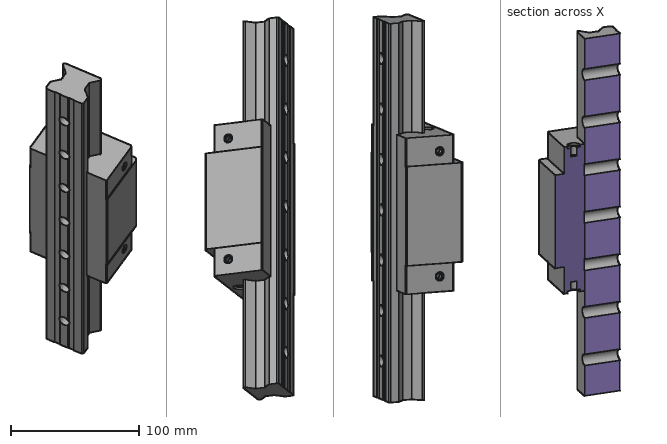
import cadquery as cq

rail_length = 300.0
rail_height = 30.0
rail_half_width = 16.8
waist_half_width = 10.5
waist_bottom = 14.0
waist_top = 21.5
flare = rail_half_width - waist_half_width
base_chamfer = 1.2
head_fillet = 1.5

groove_inner = 3.3
groove_floor_inner = 4.2
groove_outer = 8.5
groove_depth = 0.3

hole_count = 7
hole_pitch = 40.0
hole_diameter = 9.0

carriage_bottom = 6.3
carriage_top = 55.0
block_width = 70.0
block_length = 78.5
block_top_chamfer = 1.8
block_bottom_chamfer = 1.0
cap_width = 68.7
cap_top_chamfer = 1.2
cap_bottom_chamfer = 1.0
cap_top = 47.5
carriage_length = 123.5
cap_length = (carriage_length - block_length) / 2

end_port_y = 39.0
end_port_diameter = 10.2
end_port_depth = 1.8
end_bore_diameter = 4.8
end_bore_depth = 9.0

side_port_y = 35.0
side_port_from_end = 12.3
side_port_diameter = 7.0
side_bore_diameter = 4.8
side_bore_depth = 6.0


def prism(outline, length):
    """Extrude an XY outline along Z, centred on Z = 0."""
    return outline.extrude(length / 2, both=True)


def rail_bar():
    """Full rail cross-section, mirrored about X = 0, with rounded head edges but no grooves or holes."""
    half_outline = [
        (0, 0),
        (rail_half_width - base_chamfer, 0),
        (rail_half_width, base_chamfer),
        (rail_half_width, waist_bottom - flare),
        (waist_half_width, waist_bottom),
        (waist_half_width, waist_top),
        (rail_half_width, waist_top + flare),
        (rail_half_width, rail_height),
        (0, rail_height),
    ]
    bar = prism(cq.Workplane("XY").polyline(half_outline).mirrorY(), rail_length)
    return bar.edges("|Z and >Y").fillet(head_fillet)


def make_rail():
    rail = rail_bar()
    for side in (-1, 1):
        outline = [
            (side * groove_outer, 0),
            (side * groove_outer, groove_depth),
            (side * groove_floor_inner, groove_depth),
            (side * groove_inner, 0),
        ]
        rail = rail.cut(prism(cq.Workplane("XY").polyline(outline).close(), rail_length))
    holes = (
        cq.Workplane("XZ")
        .rarray(3, hole_pitch, 1, hole_count)
        .circle(hole_diameter / 2)
        .extrude(-rail_height)
    )
    return rail.cut(holes)


def make_block():
    height = carriage_top - carriage_bottom
    block = cq.Workplane("XY").box(block_width, height, block_length)
    block = block.translate((0, carriage_bottom + height / 2, 0))
    block = block.edges("|Z and >Y").chamfer(block_top_chamfer)
    return block.edges("|Z and <Y").chamfer(block_bottom_chamfer)


def bore(diameter, depth, start, direction):
    """Cylinder used as a cutter, running from start along direction."""
    return cq.Workplane(cq.Solid.makeCylinder(diameter / 2, depth, start, direction))


def make_end_cap(end):
    """End cap with its ports; end is +1 for the upper cap and -1 for the lower one."""
    height = cap_top - carriage_bottom
    end_face = end * carriage_length / 2
    cap = cq.Workplane("XY").box(cap_width, height, cap_length)
    cap = cap.translate((0, carriage_bottom + height / 2, end_face - end * cap_length / 2))
    cap = cap.edges("|Z and >Y").chamfer(cap_top_chamfer)
    cap = cap.edges("|Z and <Y").chamfer(cap_bottom_chamfer)

    inward = cq.Vector(0, 0, -end)
    port_centre = cq.Vector(0, end_port_y, end_face)
    cap = cap.cut(bore(end_port_diameter, end_port_depth, port_centre, inward))
    cap = cap.cut(bore(end_bore_diameter, end_bore_depth, port_centre, inward))

    sink_depth = (side_port_diameter - side_bore_diameter) / 2
    for side in (-1, 1):
        inward = cq.Vector(-side, 0, 0)
        port_z = end_face - end * side_port_from_end
        port_centre = cq.Vector(side * cap_width / 2, side_port_y, port_z)
        sink = cq.Solid.makeCone(
            side_port_diameter / 2, side_bore_diameter / 2, sink_depth, port_centre, inward
        )
        cap = cap.cut(cq.Workplane(sink))
        cap = cap.cut(bore(side_bore_diameter, side_bore_depth, port_centre, inward))
    return cap


def make_carriage():
    carriage = make_block()
    for end in (-1, 1):
        carriage = carriage.union(make_end_cap(end))
    return carriage.cut(rail_bar())


rail = make_rail()
carriage = make_carriage()

result = cq.Compound.makeCompound([rail.val(), carriage.val()])